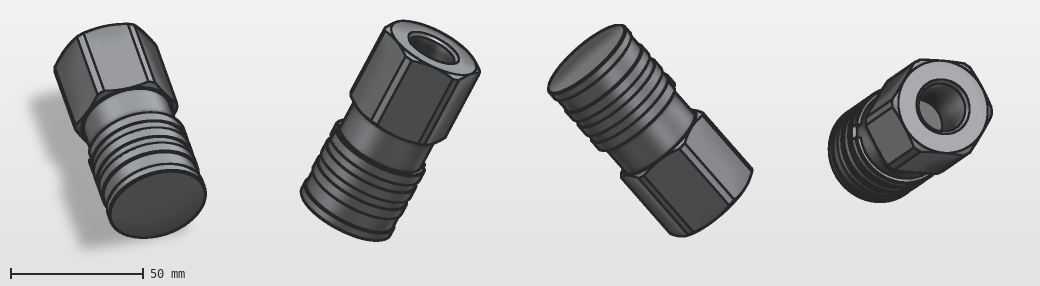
import cadquery as cq
import math

LENGTH = 76.0
SLEEVE_RADIUS = 19.0
GROOVE_RADIUS = 18.5
NECK_RADIUS = 17.0

HEX_LENGTH = 32.1
HEX_FLATS = 36.0
HEX_CORNER_RADIUS = 20.0
HEX_FACE_RADIUS = 17.9
HEX_CHAMFER_ANGLE = 30.0

BORE_RADIUS = 9.35
BORE_MOUTH_RADIUS = 10.65
BORE_DEPTH = 27.35

SLEEVE_START = 45.5
SLEEVE_CHAMFER = 0.45
NARROW_GROOVES = [(50.1, 53.7), (58.1, 61.5)]
WIDE_GROOVE = (65.6, 72.35)
WIDE_GROOVE_SLOPE = 0.4

NOTCH_END = 49.4
NOTCH_WIDTH = 5.2
NOTCH_CORNER_RADIUS = 0.5


def revolve_profile(points):
    """Turn a closed (x, radius) profile around the X axis."""
    return cq.Workplane("XY").polyline(points).close().revolve(360, (0, 0, 0), (1, 0, 0))


def make_hex():
    """Hexagon with flats facing up and down, turned at its corners and both ends."""
    hexagon = (
        cq.Workplane("YZ")
        .polygon(6, HEX_FLATS / math.cos(math.radians(30)))
        .extrude(HEX_LENGTH)
    )
    chamfer = (HEX_CORNER_RADIUS - HEX_FACE_RADIUS) * math.tan(math.radians(HEX_CHAMFER_ANGLE))
    envelope = revolve_profile([
        (0, 0),
        (0, HEX_FACE_RADIUS),
        (chamfer, HEX_CORNER_RADIUS),
        (HEX_LENGTH - chamfer, HEX_CORNER_RADIUS),
        (HEX_LENGTH, HEX_FACE_RADIUS),
        (HEX_LENGTH, 0),
    ])
    return hexagon.intersect(envelope)


def make_sleeve():
    """Grooved sleeve with chamfered ends, solid to the axis."""
    points = [
        (SLEEVE_START, 0),
        (SLEEVE_START, SLEEVE_RADIUS - SLEEVE_CHAMFER),
        (SLEEVE_START + SLEEVE_CHAMFER, SLEEVE_RADIUS),
    ]
    for start, end in NARROW_GROOVES:
        points += [
            (start, SLEEVE_RADIUS),
            (start, GROOVE_RADIUS),
            (end, GROOVE_RADIUS),
            (end, SLEEVE_RADIUS),
        ]
    start, end = WIDE_GROOVE
    points += [
        (start, SLEEVE_RADIUS),
        (start + WIDE_GROOVE_SLOPE, GROOVE_RADIUS),
        (end - WIDE_GROOVE_SLOPE, GROOVE_RADIUS),
        (end, SLEEVE_RADIUS),
        (LENGTH - SLEEVE_CHAMFER, SLEEVE_RADIUS),
        (LENGTH, SLEEVE_RADIUS - SLEEVE_CHAMFER),
        (LENGTH, 0),
    ]
    return revolve_profile(points)


def make_notches():
    """Cutter for opposite notches on the -Y and +Y sides."""
    return (
        cq.Workplane("XY")
        .box(NOTCH_END - SLEEVE_START, 2 * LENGTH, NOTCH_WIDTH, centered=(False, True, True))
        .edges(">X and |Y")
        .fillet(NOTCH_CORNER_RADIUS)
        .translate((SLEEVE_START, 0, 0))
    )


def make_bore():
    """Cutter for the blind bore and its 45 degree mouth chamfer."""
    return revolve_profile([
        (0, 0),
        (0, BORE_MOUTH_RADIUS),
        (BORE_MOUTH_RADIUS - BORE_RADIUS, BORE_RADIUS),
        (BORE_DEPTH, BORE_RADIUS),
        (BORE_DEPTH, 0),
    ])


neck = cq.Workplane("YZ").circle(NECK_RADIUS).extrude(LENGTH)
sleeve = make_sleeve().cut(make_notches())
result = neck.union(make_hex()).union(sleeve).cut(make_bore())